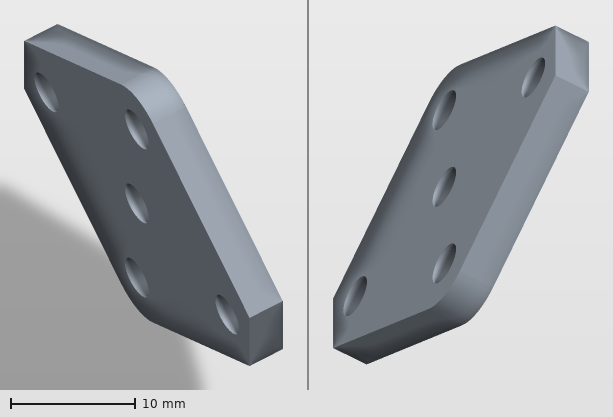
import cadquery as cq
import math

length = 33.53
thickness = 3.2
height = 27.8

end_flat_height = 6.37
hole_offset_x = 13.45
hole_offset_z = 9.8
hole_diameter = 3.55

half_length = length / 2
half_height = height / 2
half_flat = end_flat_height / 2

tip_radius = half_height - hole_offset_z

corner_drop = hole_offset_z - half_flat
corner_distance = math.hypot(half_length, corner_drop)
tangent_angle = math.acos(tip_radius / corner_distance) - math.atan2(corner_drop, half_length)
tangent_x = tip_radius * math.cos(tangent_angle)
tangent_z = hole_offset_z + tip_radius * math.sin(tangent_angle)

plate = (
    cq.Workplane("XZ")
    .moveTo(half_length, -half_flat)
    .lineTo(half_length, half_flat)
    .lineTo(tangent_x, tangent_z)
    .threePointArc((0, half_height), (-tangent_x, tangent_z))
    .lineTo(-half_length, half_flat)
    .lineTo(-half_length, -half_flat)
    .lineTo(-tangent_x, -tangent_z)
    .threePointArc((0, -half_height), (tangent_x, -tangent_z))
    .close()
    .extrude(thickness / 2, both=True)
)

hole_centres = [
    (0, 0),
    (hole_offset_x, 0),
    (-hole_offset_x, 0),
    (0, hole_offset_z),
    (0, -hole_offset_z),
]
holes = (
    cq.Workplane("XZ")
    .pushPoints(hole_centres)
    .circle(hole_diameter / 2)
    .extrude(thickness, both=True)
)

result = plate.cut(holes)